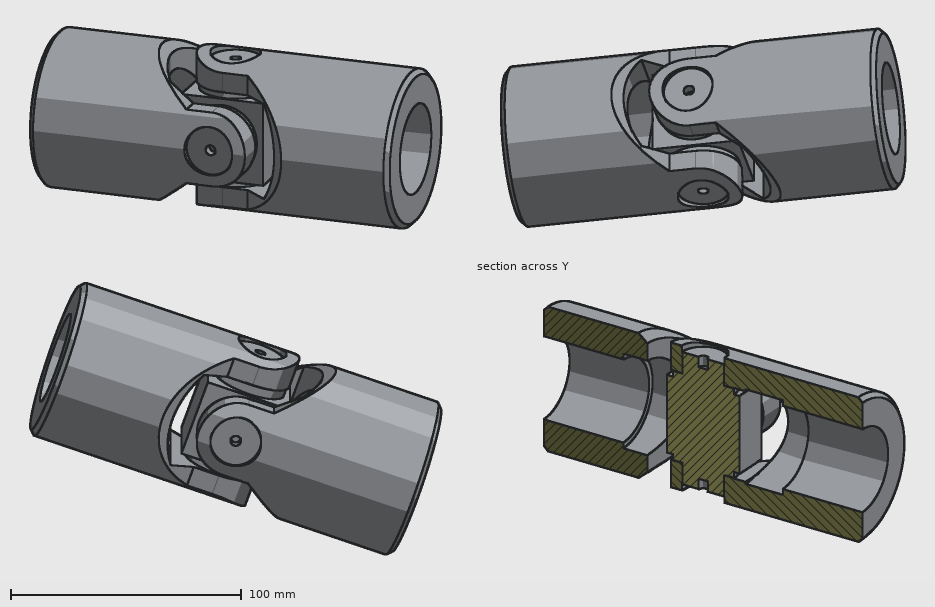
import cadquery as cq

LENGTH = 166.0
BODY_DIA = 70.0
BODY_R = BODY_DIA / 2
HALF_LENGTH = LENGTH / 2
END_CHAMFER = 2.2
BORE_DIA = 40.0

ARM_R = 17.0
ARM_STRAIGHT = 11.6
SHOULDER_X = 33.7
ARM_INNER = 21.7
THROAT_DEPTH = 29.0
RELIEF_R = 22.7
RELIEF_END = 41.5
THROAT_EDGE = 22.2

BLOCK_X = 37.8
BLOCK_Y = 34.4
BLOCK_Z = 37.7
COLLAR_DIA = 32.0
PIN_DIA = 22.0
PIN_END = 32.0
CENTRE_HOLE_DIA = 4.5
CENTRE_HOLE_DEPTH = 5.0


def rod_along_z(diameter, length):
    """Cylinder on the Z axis, centred at the origin."""
    return cq.Workplane("XY").circle(diameter / 2).extrude(length / 2, both=True)


def turn_to_y(shape):
    """Turn a shape from the Z axis to the Y axis."""
    return shape.rotate((0, 0, 0), (1, 0, 0), 90)


def arm_outline():
    """Fork outline seen along the pin axis: round tip, straight sides, sloping shoulders."""
    return (
        cq.Workplane("XY")
        .moveTo(HALF_LENGTH, BODY_R)
        .lineTo(SHOULDER_X, BODY_R)
        .lineTo(ARM_STRAIGHT, ARM_R)
        .lineTo(0, ARM_R)
        .threePointArc((-ARM_R, 0), (0, -ARM_R))
        .lineTo(ARM_STRAIGHT, -ARM_R)
        .lineTo(SHOULDER_X, -BODY_R)
        .lineTo(HALF_LENGTH, -BODY_R)
        .close()
        .extrude(BODY_R, both=True)
    )


def throat():
    """Gap between the arms, with a rounded bottom, running through along Y."""
    return (
        cq.Workplane("XZ")
        .moveTo(-HALF_LENGTH, -ARM_INNER)
        .lineTo(THROAT_EDGE, -ARM_INNER)
        .threePointArc((THROAT_DEPTH, 0), (THROAT_EDGE, ARM_INNER))
        .lineTo(-HALF_LENGTH, ARM_INNER)
        .close()
        .extrude(BODY_R, both=True)
    )


def make_fork():
    """Fork on the +X side with its pin holes along Z."""
    barrel = (
        cq.Workplane("YZ")
        .workplane(offset=-ARM_R)
        .circle(BODY_R)
        .extrude(HALF_LENGTH + ARM_R)
        .faces(">X")
        .chamfer(END_CHAMFER)
    )
    bore = cq.Workplane("YZ").circle(BORE_DIA / 2).extrude(HALF_LENGTH)
    relief = cq.Workplane("YZ").workplane(offset=THROAT_EDGE).circle(RELIEF_R).extrude(RELIEF_END - THROAT_EDGE)
    pin_holes = rod_along_z(PIN_DIA, BODY_DIA)
    return barrel.intersect(arm_outline()).cut(throat()).cut(bore).cut(relief).cut(pin_holes)


def make_cross():
    """Centre block with collars and pins along Y and Z, each pin centre-drilled."""
    collar = rod_along_z(COLLAR_DIA, 2 * ARM_INNER)
    pin = rod_along_z(PIN_DIA, 2 * PIN_END)
    trunnion = collar.union(pin)
    body = cq.Workplane("XY").box(BLOCK_X, BLOCK_Y, BLOCK_Z)
    body = body.union(trunnion).union(turn_to_y(trunnion))
    core = rod_along_z(CENTRE_HOLE_DIA, 2 * (PIN_END - CENTRE_HOLE_DEPTH))
    centre_holes = rod_along_z(CENTRE_HOLE_DIA, 2 * PIN_END).cut(core)
    return body.cut(centre_holes).cut(turn_to_y(centre_holes))


cross = make_cross()

fork = make_fork()
forks = [
    fork,
    turn_to_y(fork.rotate((0, 0, 0), (0, 0, 1), 180)),
]

result = cq.Compound.makeCompound([cross.val(), *[each.val() for each in forks]])